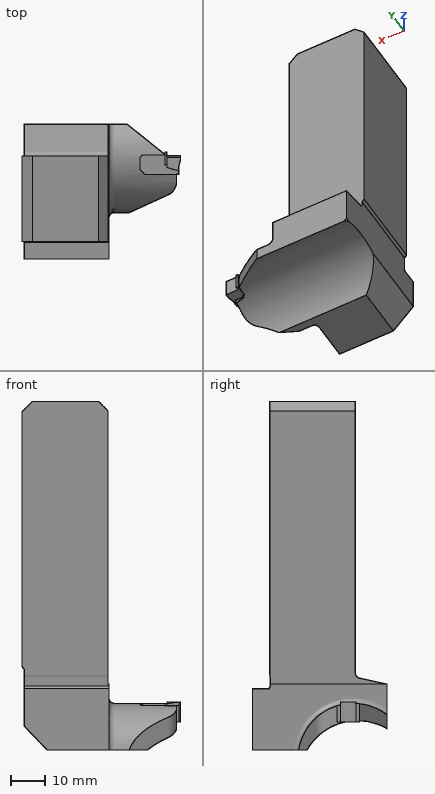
import cadquery as cq
import math

TOTAL_HEIGHT = 102.0
SHANK_WIDTH_X = 25.2
SHANK_FRONT_Y = 5.1
SHANK_BACK_Y = 30.2
TOP_CHAMFER_LEFT = 3.1
TOP_CHAMFER_RIGHT = 2.8
STEP_TOP_Z = 24.5
STEP_BOTTOM_Z = 23.6

HEAD_LEFT_X = 0.6
HEAD_RIGHT_X = 25.5
HEAD_BACK_Y = 39.5
FRONT_LEDGE_Z = 18.0
BACK_LEDGE_LOW_Z = 19.3
BACK_LEDGE_HIGH_Z = 21.3
BACK_LEDGE_FILLET = 1.5
FOOT_CHAMFER_X = 6.7
FOOT_CHAMFER_Z = 7.0

RELIEF_TOP_Z = 21.9
RELIEF_DEPTH = 0.1
RELIEF_SLOPE_TOP = 0.6
RELIEF_TOE_HEIGHT = 0.7
RELIEF_TOE_REACH = 0.2

ARCH_Y = 29.6
ARCH_OUTER_Z = -2.5
ARCH_OUTER_RADIUS = 16.2
ARCH_INNER_Y = 30.8
ARCH_INNER_Z = -8.5
ARCH_INNER_RADIUS = 17.0
BLADE_ROOT_FILLET = 1.5
BLADE_END_X = 45.3
FRONT_WALL_ANGLE = 24.6
FRONT_WALL_X = 42.7
FRONT_WALL_Y = 18.8
BACK_WALL_X = 30.8
BACK_WALL_RUN = 1.25

POCKET_FLOOR_Z = 13.0
POCKET_START_X = 34.6
POCKET_FRONT_Y = 24.8
POCKET_BACK_Y = 30.4
POCKET_CORNER_FRONT = 1.4
POCKET_CORNER_BACK = 0.6
TIP_END_X = 45.9
TIP_BACK_Y = 27.0

INSERT_BOTTOM_Z = 8.2
INSERT_REAR_Z = 13.6
INSERT_TOP_Z = 14.1
INSERT_REAR_X = 42.4
INSERT_REAR_FRONT_Y = 26.8
INSERT_NOSE_FRONT_Y = 25.8
INSERT_EDGE_X = 46.4
INSERT_EDGE_FRONT_Y = 29.0
INSERT_BACK_Y = 30.3
LAND_WIDTH = 0.6
LIP_REAR_X = 41.8
LIP_FRONT_Y = 27.5
LIP_TIP_Y = 31.3
LIP_TOP_Z = 13.7


def make_shank():
    """Bar with a chamfered top and a slanted step on its left side."""
    outline = [
        (HEAD_LEFT_X, FRONT_LEDGE_Z),
        (SHANK_WIDTH_X, FRONT_LEDGE_Z),
        (SHANK_WIDTH_X, TOTAL_HEIGHT - TOP_CHAMFER_RIGHT),
        (SHANK_WIDTH_X - TOP_CHAMFER_RIGHT, TOTAL_HEIGHT),
        (TOP_CHAMFER_LEFT, TOTAL_HEIGHT),
        (0, TOTAL_HEIGHT - TOP_CHAMFER_LEFT),
        (0, STEP_TOP_Z),
        (HEAD_LEFT_X, STEP_BOTTOM_Z),
    ]
    bar = cq.Workplane("XZ", origin=(0, SHANK_BACK_Y, 0)).polyline(outline).close()
    return bar.extrude(SHANK_BACK_Y - SHANK_FRONT_Y)


def make_head():
    """Foot with a flat front ledge, a sloping back ledge and a chamfered left bottom edge."""
    outline = [
        (0, 0),
        (HEAD_BACK_Y, 0),
        (HEAD_BACK_Y, BACK_LEDGE_LOW_Z),
        (SHANK_BACK_Y, BACK_LEDGE_HIGH_Z),
        (SHANK_BACK_Y, STEP_BOTTOM_Z),
        (SHANK_FRONT_Y, STEP_BOTTOM_Z),
        (SHANK_FRONT_Y, FRONT_LEDGE_Z + RELIEF_TOE_HEIGHT),
        (SHANK_FRONT_Y - RELIEF_TOE_REACH, FRONT_LEDGE_Z),
        (0, FRONT_LEDGE_Z),
    ]
    head = cq.Workplane("YZ", origin=(HEAD_LEFT_X, 0, 0)).polyline(outline).close()
    head = head.extrude(HEAD_RIGHT_X - HEAD_LEFT_X)
    ledge_corner = cq.selectors.NearestToPointSelector(
        ((HEAD_LEFT_X + HEAD_RIGHT_X) / 2, SHANK_BACK_Y, BACK_LEDGE_HIGH_Z))
    head = head.edges(ledge_corner).fillet(BACK_LEDGE_FILLET)

    side_trim = cq.Workplane().box(
        HEAD_RIGHT_X - SHANK_WIDTH_X, HEAD_BACK_Y, STEP_BOTTOM_Z - BACK_LEDGE_LOW_Z, centered=False)
    head = head.cut(side_trim.translate((SHANK_WIDTH_X, 0, BACK_LEDGE_LOW_Z)))

    foot_corner = [
        (HEAD_LEFT_X, 0),
        (HEAD_LEFT_X + FOOT_CHAMFER_X, 0),
        (HEAD_LEFT_X, FOOT_CHAMFER_Z),
    ]
    wedge = cq.Workplane("XZ").polyline(foot_corner).close().extrude(-HEAD_BACK_Y)
    return head.cut(wedge)


def make_relief():
    """Cutter for the shallow relief on the shank's front face."""
    floor_y = SHANK_FRONT_Y + RELIEF_DEPTH
    outline = [
        (SHANK_FRONT_Y, RELIEF_TOP_Z),
        (floor_y, RELIEF_TOP_Z - RELIEF_SLOPE_TOP),
        (floor_y, FRONT_LEDGE_Z + RELIEF_TOE_HEIGHT),
        (SHANK_FRONT_Y - RELIEF_TOE_REACH, FRONT_LEDGE_Z),
        (SHANK_FRONT_Y - RELIEF_TOE_REACH, RELIEF_TOP_Z),
    ]
    return cq.Workplane("YZ").polyline(outline).close().extrude(HEAD_RIGHT_X)


def make_blade():
    """Round boss flared at its root, trimmed to the blade's plan outline."""
    flare_radius = ARCH_OUTER_RADIUS + BLADE_ROOT_FILLET
    root_end_x = HEAD_RIGHT_X + BLADE_ROOT_FILLET
    arc_reach = BLADE_ROOT_FILLET * (1 - math.sqrt(0.5))
    boss = (
        cq.Workplane("XY")
        .moveTo(HEAD_RIGHT_X, 0)
        .lineTo(HEAD_RIGHT_X, flare_radius)
        .threePointArc((HEAD_RIGHT_X + arc_reach, ARCH_OUTER_RADIUS + arc_reach),
                       (root_end_x, ARCH_OUTER_RADIUS))
        .lineTo(BLADE_END_X, ARCH_OUTER_RADIUS)
        .lineTo(BLADE_END_X, 0)
        .close()
        .revolve(360, (0, 0, 0), (1, 0, 0))
        .translate((0, ARCH_Y, ARCH_OUTER_Z))
    )

    angle = math.radians(FRONT_WALL_ANGLE)
    end_radius = (BLADE_END_X - FRONT_WALL_X) / (1 - math.sin(angle))
    end_center_x = BLADE_END_X - end_radius
    end_center_y = FRONT_WALL_Y + end_radius * math.cos(angle)
    mid_angle = (angle - math.pi / 2) / 2
    arc_middle = (end_center_x + end_radius * math.cos(mid_angle),
                  end_center_y + end_radius * math.sin(mid_angle))
    front_wall_root_y = FRONT_WALL_Y - (FRONT_WALL_X - HEAD_RIGHT_X) * math.tan(angle)
    back_wall_end_y = HEAD_BACK_Y - (BLADE_END_X - BACK_WALL_X) / BACK_WALL_RUN
    plan = (
        cq.Workplane("XY")
        .moveTo(HEAD_RIGHT_X, front_wall_root_y)
        .lineTo(FRONT_WALL_X, FRONT_WALL_Y)
        .threePointArc(arc_middle, (BLADE_END_X, end_center_y))
        .lineTo(BLADE_END_X, back_wall_end_y)
        .lineTo(BACK_WALL_X, HEAD_BACK_Y)
        .lineTo(HEAD_RIGHT_X, HEAD_BACK_Y)
        .close()
        .extrude(TOTAL_HEIGHT)
    )
    return boss.intersect(plan)


def make_tip():
    """Small block at the end of the blade, in front of the insert."""
    size = (TIP_END_X - FRONT_WALL_X, TIP_BACK_Y - POCKET_FRONT_Y, POCKET_FLOOR_Z - INSERT_BOTTOM_Z)
    tip = cq.Workplane().box(*size, centered=False)
    return tip.translate((FRONT_WALL_X, POCKET_FRONT_Y, INSERT_BOTTOM_Z))


def make_pocket():
    """Cutter for the flat on top of the blade, with two clipped corners."""
    outline = [
        (POCKET_START_X + POCKET_CORNER_FRONT, POCKET_FRONT_Y),
        (INSERT_EDGE_X, POCKET_FRONT_Y),
        (INSERT_EDGE_X, POCKET_BACK_Y),
        (POCKET_START_X + POCKET_CORNER_BACK, POCKET_BACK_Y),
        (POCKET_START_X, POCKET_BACK_Y - POCKET_CORNER_BACK),
        (POCKET_START_X, POCKET_FRONT_Y + POCKET_CORNER_FRONT),
    ]
    pocket = cq.Workplane("XY", origin=(0, 0, POCKET_FLOOR_Z)).polyline(outline).close()
    return pocket.extrude(INSERT_TOP_Z - POCKET_FLOOR_Z)


def make_inner_arch():
    """Cutter for the arch that runs under the head and the blade along X."""
    arch = cq.Workplane("YZ").center(ARCH_INNER_Y, ARCH_INNER_Z).circle(ARCH_INNER_RADIUS)
    return arch.extrude(INSERT_EDGE_X)


def make_insert():
    """Cutting block with a sloping top face, a flat land behind it and a lip at its rear end."""
    height = INSERT_TOP_Z - INSERT_BOTTOM_Z
    block_outline = [
        (INSERT_REAR_X, INSERT_REAR_FRONT_Y),
        (TIP_END_X, INSERT_NOSE_FRONT_Y),
        (TIP_END_X, TIP_BACK_Y),
        (INSERT_EDGE_X, INSERT_EDGE_FRONT_Y),
        (INSERT_EDGE_X, INSERT_BACK_Y),
        (INSERT_REAR_X, INSERT_BACK_Y),
    ]
    base = cq.Workplane("XY", origin=(0, 0, INSERT_BOTTOM_Z))
    block = base.polyline(block_outline).close().extrude(height)

    slope = [
        (INSERT_REAR_X, INSERT_REAR_Z),
        (INSERT_EDGE_X, INSERT_TOP_Z),
        (INSERT_REAR_X, INSERT_TOP_Z),
    ]
    land_front_y = INSERT_BACK_Y - LAND_WIDTH
    slope_cut = cq.Workplane("XZ", origin=(0, land_front_y, 0)).polyline(slope).close()
    block = block.cut(slope_cut.extrude(land_front_y - POCKET_FRONT_Y))

    lip_outline = [
        (LIP_REAR_X, LIP_FRONT_Y),
        (INSERT_REAR_X, LIP_FRONT_Y),
        (INSERT_REAR_X, LIP_TIP_Y),
        (LIP_REAR_X, LIP_TIP_Y),
    ]
    lip = base.polyline(lip_outline).close().extrude(LIP_TOP_Z - INSERT_BOTTOM_Z)
    return block.union(lip)


def make_holder(insert):
    """Shank, head and blade in one piece, with a seat that matches the insert."""
    holder = make_shank().union(make_head()).cut(make_relief())
    holder = holder.union(make_blade()).cut(make_inner_arch())
    holder = holder.union(make_tip()).cut(make_pocket())
    return holder.cut(insert)


insert = make_insert()
holder = make_holder(insert)
result = cq.Compound.makeCompound([holder.solids().val(), insert.solids().val()])